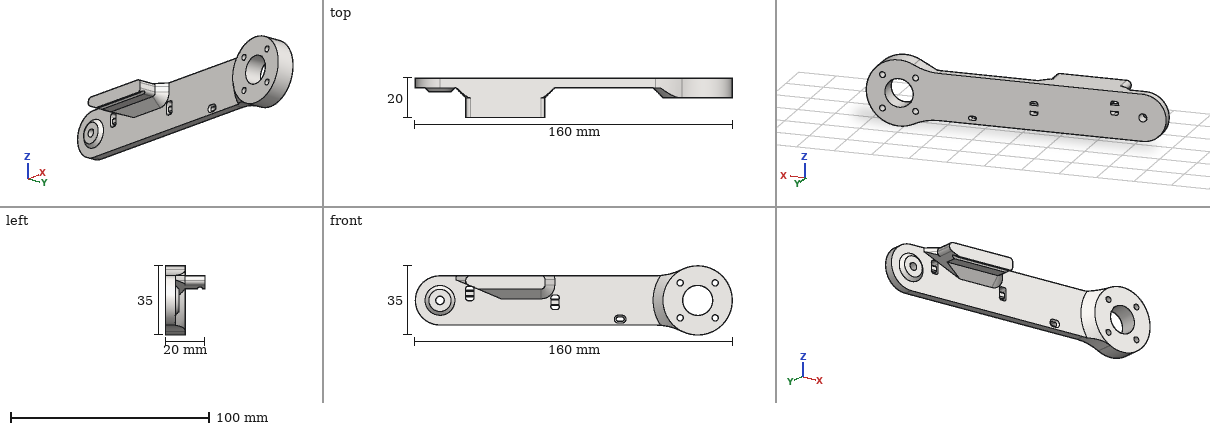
import cadquery as cq
import math

total_length = 160
total_depth = 20.0

arm_width = 25.0
flange_diameter = 35.0
flange_depth = total_depth / 2
plate_thickness = flange_depth / 2
flange_step = flange_depth - plate_thickness
neck_radius = 30.0
bore_diameter = 15.0
bolt_circle_diameter = 25.0
bolt_hole_diameter = 3.0
bolt_count = 4

pivot_hole_diameter = 4.2
boss_diameter = 15.0
boss_height = 2.0

ledge_start = 13.0
ledge_length = 40
ledge_height = 6.7
ledge_left_radius = 2.4
ledge_right_radius = 2.0
flare_depth = 5.0
slant_start = (7.7, 10.5)
slant_end = (31.2, 0.6)
groove_radius = 1.5
groove_depth = 1.0
groove_from_front = 2.5

tie_slot_centers = [(15.0, 3.5), (58.0, -1.0)]
tie_slot_width = 4.2
tie_slot_height = 7.2
tie_slot_corner = 1.3
tie_bar_height = 3.4
tie_bar_recess = 1.5
tie_bar_chamfer = 0.6

wire_slot_center = (90.9, -9.5)
wire_slot_length = 4.0
wire_slot_width = 2.0
wire_slot_countersink = 1.0

arm_half = arm_width / 2
flange_radius = flange_diameter / 2
flange_x = total_length - arm_half - flange_radius


def front_plane(depth, x=0, z=0):
    """Workplane facing -Y, at the given distance in front of the back face."""
    return cq.Workplane("XZ", origin=(x, -depth, z))


def make_outline_body():
    """Arm outline with necks blending into the flange, at full flange depth."""
    neck_center_z = arm_half + neck_radius
    neck_reach = math.sqrt((flange_radius + neck_radius) ** 2 - neck_center_z**2)
    neck_x = flange_x - neck_reach
    to_neck = flange_radius / (flange_radius + neck_radius)
    join_x = flange_x - neck_reach * to_neck
    join_z = neck_center_z * to_neck
    return (
        front_plane(0)
        .moveTo(0, arm_half)
        .lineTo(neck_x, arm_half)
        .tangentArcPoint((join_x, join_z), relative=False)
        .threePointArc((flange_x + flange_radius, 0), (join_x, -join_z))
        .tangentArcPoint((neck_x, -arm_half), relative=False)
        .lineTo(0, -arm_half)
        .threePointArc((-arm_half, 0), (0, arm_half))
        .close()
        .extrude(flange_depth)
    )


def make_arm():
    """Thin plate plus the flange, whose 45 degree cone runs down onto the plate."""
    outline_body = make_outline_body()
    plate = outline_body.intersect(
        cq.Workplane("XY").box(2 * total_length, 2 * plate_thickness, 2 * flange_diameter)
    )
    back_disc = front_plane(0, flange_x).circle(flange_radius + flange_step).extrude(plate_thickness)
    cone = (
        front_plane(plate_thickness, flange_x)
        .circle(flange_radius + flange_step)
        .extrude(flange_step, taper=45)
    )
    flange = outline_body.intersect(back_disc.union(cone))
    return plate.union(flange)


def make_boss():
    return front_plane(plate_thickness).circle(boss_diameter / 2).extrude(boss_height, taper=45)


def make_ledge():
    """Shelf with rounded corners on its flared base, cut off along the slanted line."""
    left_x = ledge_start - 2 * flare_depth
    right_x = ledge_start + ledge_length + 2 * flare_depth
    center_x = ledge_start + ledge_length / 2
    center_z = arm_half - ledge_height / 2
    flare_front = plate_thickness + flare_depth
    slant_slope = (slant_end[1] - slant_start[1]) / (slant_end[0] - slant_start[0])

    def slant_z(x):
        return slant_start[1] + slant_slope * (x - slant_start[0])

    keep = (
        front_plane(0)
        .moveTo(left_x, slant_z(left_x))
        .lineTo(right_x, slant_z(right_x))
        .lineTo(right_x, arm_half)
        .lineTo(left_x, arm_half)
        .close()
        .extrude(total_depth)
    )
    flare_outline = (
        cq.Sketch()
        .rect(ledge_length + 2 * flare_depth, ledge_height + 2 * flare_depth)
        .vertices("<X")
        .fillet(ledge_left_radius + flare_depth)
        .reset()
        .vertices(">X")
        .fillet(ledge_right_radius + flare_depth)
    )
    flare = (
        front_plane(plate_thickness, center_x, center_z)
        .placeSketch(flare_outline)
        .extrude(flare_depth, taper=45)
        .intersect(keep)
    )
    shelf = (
        front_plane(flare_front, center_x, center_z)
        .rect(ledge_length, ledge_height)
        .extrude(total_depth - flare_front)
        .intersect(keep)
    )
    shelf = shelf.edges("|Y and <X").fillet(ledge_left_radius)
    shelf = shelf.edges("|Y and >X").fillet(ledge_right_radius)
    groove_y = groove_from_front - total_depth
    groove_z = arm_half - ledge_height + groove_depth - groove_radius
    groove = (
        cq.Workplane("YZ", origin=(left_x, 0, 0))
        .center(groove_y, groove_z)
        .circle(groove_radius)
        .extrude(right_x - left_x)
    )
    return flare.union(shelf.cut(groove))


def make_flange_holes():
    bore = front_plane(0, flange_x).circle(bore_diameter / 2).extrude(flange_depth)
    bolt_holes = (
        front_plane(0, flange_x)
        .polarArray(bolt_circle_diameter / 2, 45, 360, bolt_count)
        .circle(bolt_hole_diameter / 2)
        .extrude(flange_depth)
    )
    return bore.union(bolt_holes)


def make_pivot_hole():
    return front_plane(0).circle(pivot_hole_diameter / 2).extrude(plate_thickness + boss_height)


def make_tie_slot(x, z):
    """Through slot, less the bar that stays across its middle."""
    slot = (
        front_plane(0, x, z)
        .rect(tie_slot_width, tie_slot_height)
        .extrude(total_depth)
        .edges("|Y")
        .fillet(tie_slot_corner)
    )
    bar = (
        front_plane(0, x, z)
        .rect(tie_slot_width, tie_bar_height)
        .extrude(plate_thickness - tie_bar_recess)
        .edges("<Y and |X")
        .chamfer(tie_bar_chamfer)
    )
    return slot.cut(bar)


def make_wire_slot():
    """Through slot with a 45 degree countersink on the front face."""
    x, z = wire_slot_center
    through = front_plane(0, x, z).slot2D(wire_slot_length, wire_slot_width).extrude(plate_thickness)
    rim_length = wire_slot_length + 2 * wire_slot_countersink
    rim_width = wire_slot_width + 2 * wire_slot_countersink
    countersink = (
        front_plane(plate_thickness, x, z)
        .slot2D(rim_length, rim_width)
        .extrude(-wire_slot_countersink, taper=45)
    )
    return through.union(countersink)


result = make_arm().union(make_boss())
for x, z in tie_slot_centers:
    result = result.cut(make_tie_slot(x, z))
result = result.union(make_ledge())
result = result.cut(make_flange_holes()).cut(make_pivot_hole()).cut(make_wire_slot())